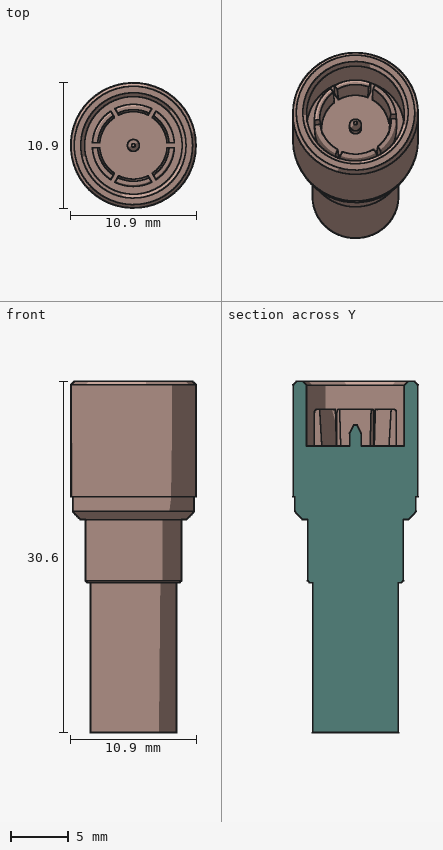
import cadquery as cq

height = 30.55
sleeve_bottom = 20.5
collar_bottom = 18.5
neck_bottom = 13.0

sleeve_radius = 5.453
collar_radius = 5.3
neck_radius = 4.2
tail_radius = 3.75

rim_chamfer = 0.3
collar_bevel = 0.58
collar_shoulder_width = 0.1
collar_shoulder_height = 0.15
neck_chamfer = 0.18

bore_radius = 4.25
bore_depth = 5.62
bore_chamfer = 0.35
floor_height = height - bore_depth

finger_outer_radius = 3.57
finger_inner_radius = 2.93
finger_height = 3.18
finger_outer_round = 0.25
finger_inner_taper = 0.18
finger_count = 6
slot_width = 0.43

pin_radius = 0.52
pin_height = 1.83
pin_tip_radius = 0.15
pin_tip_length = 0.73


def cylinder(radius, bottom, top):
    return cq.Workplane("XY").workplane(offset=bottom).circle(radius).extrude(top - bottom)


def revolve_about_z(profile):
    return cq.Workplane("XZ").polyline(profile).close().revolve(360, (0, 0, 0), (0, 1, 0))


def make_collar():
    shoulder_radius = collar_radius - collar_shoulder_width
    bevel_top = collar_bottom + collar_bevel
    profile = [
        (0, collar_bottom),
        (shoulder_radius - collar_bevel, collar_bottom),
        (shoulder_radius, bevel_top),
        (collar_radius, bevel_top + collar_shoulder_height),
        (collar_radius, sleeve_bottom),
        (0, sleeve_bottom),
    ]
    return revolve_about_z(profile)


def make_body():
    tail = cylinder(tail_radius, 0, neck_bottom)
    neck = cylinder(neck_radius, neck_bottom, collar_bottom).faces("<Z").chamfer(neck_chamfer)
    collar = make_collar()
    sleeve = cylinder(sleeve_radius, sleeve_bottom, height).faces(">Z").chamfer(rim_chamfer)
    return tail.union(neck).union(collar).union(sleeve)


def make_socket():
    chamfer_bottom = height - bore_chamfer
    profile = [
        (0, floor_height),
        (bore_radius, floor_height),
        (bore_radius, chamfer_bottom),
        (bore_radius + bore_chamfer, height),
        (0, height),
    ]
    return revolve_about_z(profile)


def make_fingers():
    top = floor_height + finger_height
    profile = [
        (finger_inner_radius, floor_height),
        (finger_outer_radius, floor_height),
        (finger_outer_radius, top),
        (finger_inner_radius + finger_inner_taper, top),
    ]
    ring = revolve_about_z(profile)
    outer_rim = cq.selectors.RadiusNthSelector(-1)
    ring = ring.faces(">Z").edges(outer_rim).fillet(finger_outer_round)
    for index in range(finger_count // 2):
        slot = (
            cq.Workplane("XY").workplane(offset=floor_height)
            .rect(2 * bore_radius, slot_width).extrude(finger_height)
            .rotate((0, 0, 0), (0, 0, 1), index * 360 / finger_count)
        )
        ring = ring.cut(slot)
    return ring


def make_pin():
    pin = cylinder(pin_radius, floor_height, floor_height + pin_height)
    return pin.faces(">Z").chamfer(pin_tip_length, pin_radius - pin_tip_radius)


result = make_body().cut(make_socket()).union(make_fingers()).union(make_pin())